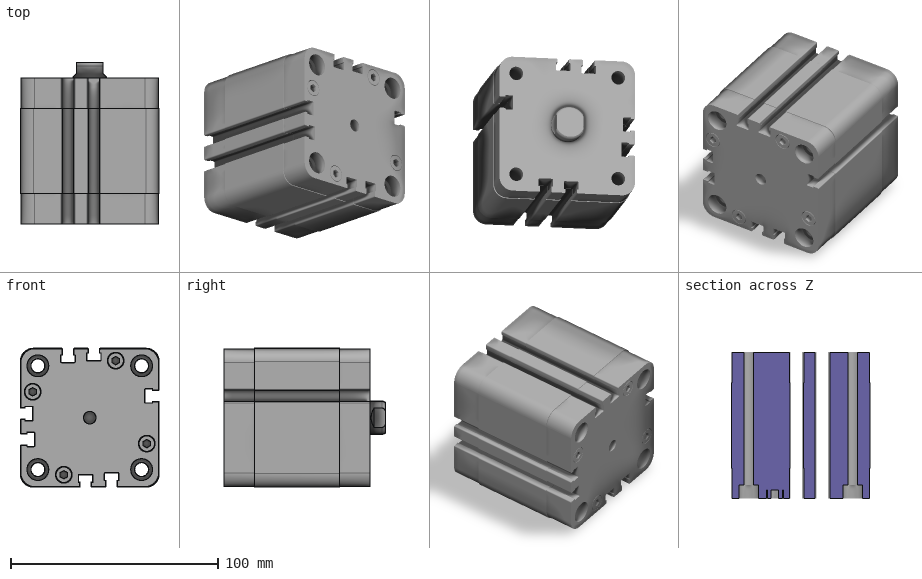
import cadquery as cq
import math


TUBE_SIDE = 67.0
TUBE_LENGTH = 41.0
CAP_SIDE = 66.4
CAP_LENGTH = 14.75
CORNER_RADIUS = 6.5
SIDES = 4
BODY_LENGTH = TUBE_LENGTH + 2 * CAP_LENGTH

SLOT_THROAT_WIDTH = 5.4
SLOT_INNER_WIDTH = 6.8
SLOT_INNER_HEIGHT = 3.6
DEEP_SLOT_DEPTH = 6.9
SHALLOW_SLOT_DEPTH = 6.0
DEEP_SLOT_OFFSET = -10.5
SHALLOW_SLOT_OFFSET = 2.0
SLOT_MOUTH_RADIUS = 0.5
SLOT_FLOOR_RADIUS = 0.4
CAP_SLOT_CLEARANCE = 0.1
DEEP_SLOT_TURNS = (0, 1, 2, 3)
SHALLOW_SLOT_TURNS = (0, 1, 2)

MOUNT_SPACING = 50.0
MOUNT_HOLE_DIAMETER = 6.65
MOUNT_BORE_DIAMETER = 10.5
MOUNT_BORE_DEPTH = 6.5

SCREW_ALONG_SIDE = 12.5
SCREW_FROM_AXIS = 27.5
SCREW_BORE_DIAMETER = 8.0
SCREW_HEAD_DIAMETER = 7.5
SCREW_GAP_DEPTH = 4.0
HEX_ACROSS_FLATS = 3.5
HEX_DEPTH = 4.0

CENTRE_HOLE_DIAMETER = 6.0
CENTRE_HOLE_DEPTH = 6.0

ROD_DIAMETER = 16.0
ROD_LENGTH = 7.5
ROD_TIP_DIAMETER = 14.2
ROD_TIP_LENGTH = 1.75
ROD_FLATS_WIDTH = 13.0
ROD_FLATS_START = 2.0


def plane_at(y):
    """Work plane at depth y with local x = X, local y = Z and normal = -Y."""
    return cq.Workplane(cq.Plane(origin=(0, y, 0), xDir=(1, 0, 0), normal=(0, -1, 0)))


def extrude_y(sketch, length):
    """Extrude a sketch made on plane_at() toward +Y."""
    return sketch.extrude(-length)


def quarter_turned(shape, turns):
    """Turn a shape about the Y axis, counterclockwise seen from -Y."""
    return shape.rotate((0, 0, 0), (0, -1, 0), 90 * turns)


def slot(side, offset, depth, clearance, start, length):
    """Cutter for one sensor slot in the top side, with rounded mouth and floor corners."""
    mouth = side / 2
    floor = TUBE_SIDE / 2 - depth - clearance
    lip = floor + SLOT_INNER_HEIGHT + 2 * clearance
    inner = SLOT_INNER_WIDTH / 2 + clearance
    throat = SLOT_THROAT_WIDTH / 2 + clearance
    right_half_sketch = (
        plane_at(start)
        .moveTo(0, floor)
        .lineTo(inner - SLOT_FLOOR_RADIUS, floor)
        .tangentArcPoint((inner, floor + SLOT_FLOOR_RADIUS), relative=False)
        .lineTo(inner, lip)
        .lineTo(throat, lip)
        .lineTo(throat, mouth - SLOT_MOUTH_RADIUS)
        .tangentArcPoint((throat + SLOT_MOUTH_RADIUS, mouth), relative=False)
        .lineTo(0, mouth)
        .close()
    )
    right_half = extrude_y(right_half_sketch, length)
    return right_half.union(right_half.mirror("YZ")).translate((offset, 0, 0))


def body_section(side, start, length, clearance):
    """Rounded square length of the body with its slots."""
    section = extrude_y(plane_at(start).rect(side, side), length)
    section = section.edges("|Y").fillet(CORNER_RADIUS)
    deep = slot(side, DEEP_SLOT_OFFSET, DEEP_SLOT_DEPTH, clearance, start, length)
    shallow = slot(side, SHALLOW_SLOT_OFFSET, SHALLOW_SLOT_DEPTH, clearance, start, length)
    for turns in DEEP_SLOT_TURNS:
        section = section.cut(quarter_turned(deep, turns))
    for turns in SHALLOW_SLOT_TURNS:
        section = section.cut(quarter_turned(shallow, turns))
    return section


def mounting_holes():
    """Cutter for the four through holes with their front counterbores."""
    corners = plane_at(0).rect(MOUNT_SPACING, MOUNT_SPACING, forConstruction=True).vertices()
    holes = extrude_y(corners.circle(MOUNT_HOLE_DIAMETER / 2), BODY_LENGTH)
    bores = extrude_y(corners.circle(MOUNT_BORE_DIAMETER / 2), MOUNT_BORE_DEPTH)
    return holes.union(bores)


def screw_recess(turns):
    """Cutter for the gap around one screw head and its hexagon socket, on the given side."""
    head_plane = plane_at(0).center(SCREW_ALONG_SIDE, SCREW_FROM_AXIS)
    gap_sketch = head_plane.circle(SCREW_BORE_DIAMETER / 2).circle(SCREW_HEAD_DIAMETER / 2)
    gap = extrude_y(gap_sketch, SCREW_GAP_DEPTH)
    hex_across_corners = HEX_ACROSS_FLATS / math.cos(math.pi / 6)
    hex_plane = head_plane.transformed(rotate=(0, 0, 90 - 90 * turns))
    socket = extrude_y(hex_plane.polygon(6, hex_across_corners), HEX_DEPTH)
    return quarter_turned(gap.union(socket), turns)


def rod():
    """Rod end with a rounded tip and two wrench flats that run out at 45 degrees."""
    radius = ROD_DIAMETER / 2
    tip_radius = ROD_TIP_DIAMETER / 2
    end = BODY_LENGTH + ROD_LENGTH
    tip_start = end - ROD_TIP_LENGTH
    profile = (
        cq.Workplane("XY")
        .moveTo(0, BODY_LENGTH)
        .lineTo(radius, BODY_LENGTH)
        .lineTo(radius, tip_start)
        .tangentArcPoint((tip_radius, end), relative=False)
        .lineTo(0, end)
        .close()
    )
    blank = profile.revolve(360, (0, 0, 0), (0, 1, 0))
    flat_x = ROD_FLATS_WIDTH / 2
    run_out = radius - flat_x
    flats_y = BODY_LENGTH + ROD_FLATS_START
    flat_cutter = (
        cq.Workplane("XY")
        .polyline([(flat_x, end), (flat_x, flats_y), (radius, flats_y - run_out), (radius, end)])
        .close()
        .extrude(radius, both=True)
    )
    return blank.cut(flat_cutter).cut(flat_cutter.mirror("YZ"))


front_cap_start = 0
tube_start = CAP_LENGTH
rear_cap_start = tube_start + TUBE_LENGTH

body = body_section(TUBE_SIDE, tube_start, TUBE_LENGTH, clearance=0)
for cap_start in (front_cap_start, rear_cap_start):
    body = body.union(body_section(CAP_SIDE, cap_start, CAP_LENGTH, CAP_SLOT_CLEARANCE))

body = body.cut(mounting_holes())
for turns in range(SIDES):
    body = body.cut(screw_recess(turns))
body = body.cut(extrude_y(plane_at(0).circle(CENTRE_HOLE_DIAMETER / 2), CENTRE_HOLE_DEPTH))

result = body.union(rod())